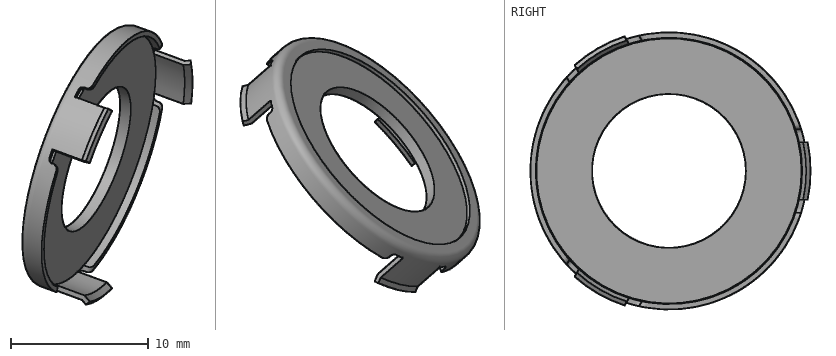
import cadquery as cq
import math

OUTER_RADIUS = 20.2 / 2
BORE_RADIUS = 19.4 / 2
WINDOW_RADIUS = 17.6 / 2
RING_DEPTH = 1.8
FRONT_ROUND = 0.57
LIP_THICKNESS = 0.3

WASHER_RADIUS = 19.3 / 2
WASHER_HOLE_RADIUS = 11.2 / 2
WASHER_BACK = 1.18

CLIP_COUNT = 3
CLIP_WIDTH = 4.2
CLIP_END = 4.02
FLARE_ANGLE = math.radians(30)
OVERALL_WIDTH = 20.43
FLARE_TIP_RADIUS = OVERALL_WIDTH - OUTER_RADIUS
FLARE_START_OUTER = 3.41
FLARE_START_INNER = 3.51

NOTCH_FLOOR = 1.0
NOTCH_HALF_WIDTH = 3.05
FLOOR_ROUND = 0.3
RIM_ROUND = 0.37


def revolve_about_x(profile):
    """Revolve a closed (x, radius) profile about the X axis."""
    return profile.close().revolve(360, (0, 0, 0), (1, 0, 0))


def make_flared_shell():
    """Rounded ring with a thin window lip and a full-circle flared skirt at the back."""
    outer_rise = FLARE_TIP_RADIUS - OUTER_RADIUS
    inner_rise = (CLIP_END - FLARE_START_INNER) * math.tan(FLARE_ANGLE)
    profile = (
        cq.Workplane("XY")
        .moveTo(0, WINDOW_RADIUS)
        .lineTo(0, OUTER_RADIUS - FRONT_ROUND)
        .radiusArc((FRONT_ROUND, OUTER_RADIUS), FRONT_ROUND)
        .lineTo(FLARE_START_OUTER, OUTER_RADIUS)
        .lineTo(FLARE_START_OUTER + outer_rise / math.tan(FLARE_ANGLE), FLARE_TIP_RADIUS)
        .lineTo(CLIP_END, BORE_RADIUS + inner_rise)
        .lineTo(FLARE_START_INNER, BORE_RADIUS)
        .lineTo(LIP_THICKNESS, BORE_RADIUS)
        .lineTo(LIP_THICKNESS, WINDOW_RADIUS)
    )
    return revolve_about_x(profile)


def place_at_clip(shape, index):
    """Turn a shape on the +Y side to the position of the given clip."""
    return shape.rotate((0, 0, 0), (1, 0, 0), index * 360 / CLIP_COUNT)


def make_clip_zone():
    """Parallel-sided block on the +Y side enclosing one clip."""
    return cq.Workplane("XY").box(
        CLIP_END, FLARE_TIP_RADIUS, CLIP_WIDTH, centered=(False, False, True)
    )


def make_notch():
    """Cutter on the +Y side: rounded inside at the floor and rounded over at the rim."""
    floor_edge = NOTCH_HALF_WIDTH - FLOOR_ROUND
    rim_edge = NOTCH_HALF_WIDTH + RIM_ROUND
    return (
        cq.Workplane("XZ")
        .moveTo(NOTCH_FLOOR, -floor_edge)
        .lineTo(NOTCH_FLOOR, floor_edge)
        .radiusArc((NOTCH_FLOOR + FLOOR_ROUND, NOTCH_HALF_WIDTH), FLOOR_ROUND)
        .lineTo(RING_DEPTH - RIM_ROUND, NOTCH_HALF_WIDTH)
        .radiusArc((RING_DEPTH, rim_edge), -RIM_ROUND)
        .lineTo(RING_DEPTH, -rim_edge)
        .radiusArc((RING_DEPTH - RIM_ROUND, -NOTCH_HALF_WIDTH), -RIM_ROUND)
        .lineTo(NOTCH_FLOOR + FLOOR_ROUND, -NOTCH_HALF_WIDTH)
        .radiusArc((NOTCH_FLOOR, -floor_edge), FLOOR_ROUND)
        .close()
        .extrude(-FLARE_TIP_RADIUS)
    )


def make_bezel():
    """Shell with everything cut away behind the rim and in the notches, except the clips."""
    waste = (
        cq.Workplane("YZ", origin=(RING_DEPTH, 0, 0))
        .circle(OVERALL_WIDTH)
        .extrude(CLIP_END)
    )
    for index in range(CLIP_COUNT):
        waste = waste.union(place_at_clip(make_notch(), index))
    for index in range(CLIP_COUNT):
        waste = waste.cut(place_at_clip(make_clip_zone(), index))
    return make_flared_shell().cut(waste)


def make_washer():
    """Flat washer resting on the back of the lip."""
    return (
        cq.Workplane("YZ", origin=(LIP_THICKNESS, 0, 0))
        .circle(WASHER_RADIUS)
        .circle(WASHER_HOLE_RADIUS)
        .extrude(WASHER_BACK - LIP_THICKNESS)
    )


bezel = make_bezel()
washer = make_washer()

result = cq.Compound.makeCompound([bezel.solids().val(), washer.val()])